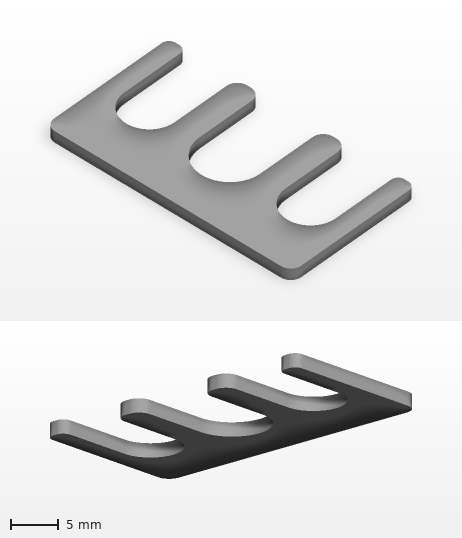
import cadquery as cq

plate_length = 35.05
plate_depth = 19.05
plate_thickness = 1.57
front_y = 0.0
back_y = front_y + plate_depth
end_x = plate_length / 2

slot_pitch = 11.43
side_slot_width = 7.11
center_slot_width = 8.64
slot_floor_center_y = front_y + plate_depth / 2

center_wall_x = center_slot_width / 2
side_inner_wall_x = slot_pitch - side_slot_width / 2
side_outer_wall_x = slot_pitch + side_slot_width / 2

front_corner_radius = 1.5
outer_finger_radius = 1.0
inner_finger_radius = 1.5

pick_margin = 0.1


def make_plate():
    """Plain rectangular plate lying on Z = 0."""
    return cq.Workplane("XY").box(plate_length, plate_depth, plate_thickness, centered=(True, False, False))


def slot_cutter(center_x, width):
    """U-shaped slot: a half-round floor with straight walls out to the back edge."""
    radius = width / 2
    left_x = center_x - radius
    right_x = center_x + radius
    return (
        cq.Workplane("XY")
        .moveTo(left_x, back_y)
        .lineTo(left_x, slot_floor_center_y)
        .threePointArc((center_x, slot_floor_center_y - radius), (right_x, slot_floor_center_y))
        .lineTo(right_x, back_y)
        .close()
        .extrude(plate_thickness)
    )


def round_corner_pair(body, corner_x, corner_y, radius):
    """Round the upright edges at +corner_x and -corner_x."""
    for x in (-corner_x, corner_x):
        edge_box = cq.selectors.BoxSelector(
            (x - pick_margin, corner_y - pick_margin, -pick_margin),
            (x + pick_margin, corner_y + pick_margin, plate_thickness + pick_margin),
        )
        body = body.edges("|Z").edges(edge_box).fillet(radius)
    return body


plate = make_plate()

plate = plate.cut(slot_cutter(0, center_slot_width))
for slot_x in (-slot_pitch, slot_pitch):
    plate = plate.cut(slot_cutter(slot_x, side_slot_width))

plate = round_corner_pair(plate, end_x, front_y, front_corner_radius)
for tip_x in (side_outer_wall_x, end_x):
    plate = round_corner_pair(plate, tip_x, back_y, outer_finger_radius)
for tip_x in (center_wall_x, side_inner_wall_x):
    plate = round_corner_pair(plate, tip_x, back_y, inner_finger_radius)

result = plate